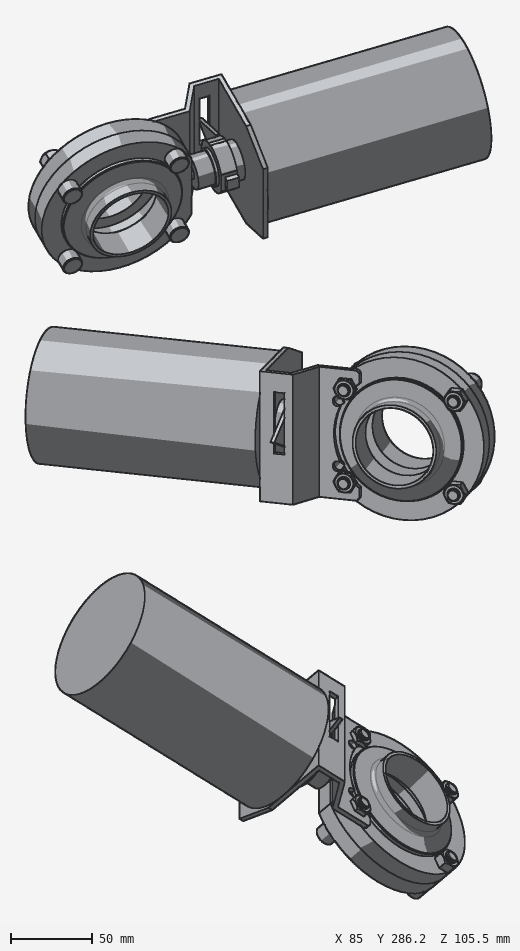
import cadquery as cq
import math


flange_dia = 105.5
flange_thickness = 11.0
flange_flat = 47.0
collar_dia = 79.5
collar_end = 13.7
collar_chamfer = 0.5
pipe_dia = 54.0
pipe_end = 26.5
bore_dia = 50.0
seat_dia = 66.0
seat_half_width = 7.0
neck_fillet = 3.0
neck_fillet_end = 19.5

bolt_y = 35.5
bolt_z = 30.3
shank_dia = 8.0
tip_dia = 6.5
tip_chamfer = 1.0
bolt_tip = 19.5
head_dia = 13.0
head_height = 8.5
head_chamfer = 0.5
nut_flats = 12.5
nut_face = -17.5
nut_face_dia = 12.0
nut_chamfer = 1.1

total_length = 286.2
tube_dia = 85.0
tube_length = 148.5
tube_far_end = total_length - flange_dia / 2
tube_near_end = tube_far_end - tube_length

neck_dia = 26.0
ring_dia = 34.0
ring_top = 75.3
ring_bottom = 64.7
ring_flat = 15.5
step_dia = 25.0
step_bottom = 62.7
hub_dia = 22.0
hub_bottom = 51.5
stem_dia = 8.0
lug_reach = 19.0
lug_width = 8.5
lug_height = 8.0
groove_width = 3.0
groove_depth = 1.0
top_groove_x = -3.5
side_groove_z = 5.2
pointer_tip_x = -41.8
pointer_thickness = 2.5
pointer_root_half_width = 12.5

sheet = 3.1
bracket_half_width = 42.4
plate_right = 41.8
plate_tip_half_width = 30.3
taper_start = 14.3
wall_x = -33.2
wall_bend_y = 63.5
tab_bend_y = 52.7
tab_end = 26.5
tab_corner_radius = 3.0
tab_relief_radius = 43.2
slot_y = (69.0, 75.8)
slot_z = (-10.3, 29.8)
locating_hole_dia = 6.5
locating_hole_y = 40.5
locating_hole_z = 21.2


def y_cylinder(diameter, start, end):
    """Cylinder along Y between two heights."""
    return cq.Workplane("XZ", origin=(0, start, 0)).circle(diameter / 2).extrude(start - end)


def x_cylinder(diameter, start, end, y=0, z=0):
    """Cylinder along X between two stations."""
    return cq.Workplane("YZ", origin=(start, y, z)).circle(diameter / 2).extrude(end - start)


def box_between(x_range, y_range, z_range):
    """Box given by its limits on the three axes."""
    size = [limits[1] - limits[0] for limits in (x_range, y_range, z_range)]
    corner = (x_range[0], y_range[0], z_range[0])
    return cq.Workplane("XY").box(*size, centered=False).translate(corner)


def bolt_places():
    return [(y, z) for y in (-bolt_y, bolt_y) for z in (-bolt_z, bolt_z)]


def make_valve_half(side):
    """Flange, collar and pipe stub on the side (-1 or 1) of the joint plane."""
    pipe_r = pipe_dia / 2
    collar_r = collar_dia / 2
    arc_x = neck_fillet_end
    arc_r = pipe_r + neck_fillet
    to_collar_x = collar_end - arc_x
    to_collar_r = collar_r - collar_chamfer - arc_r
    distance = math.hypot(to_collar_x, to_collar_r)
    tangent_angle = math.atan2(to_collar_r, to_collar_x) + math.acos(neck_fillet / distance)
    pipe_angle = 3 * math.pi / 2
    middle_angle = (tangent_angle + pipe_angle) / 2

    def arc_point(angle):
        return (arc_x + neck_fillet * math.cos(angle), arc_r + neck_fillet * math.sin(angle))

    profile = (
        cq.Workplane("XY")
        .moveTo(0, seat_dia / 2)
        .lineTo(0, flange_dia / 2)
        .lineTo(flange_thickness, flange_dia / 2)
        .lineTo(flange_thickness, collar_r)
        .lineTo(collar_end - collar_chamfer, collar_r)
        .lineTo(collar_end, collar_r - collar_chamfer)
        .lineTo(*arc_point(tangent_angle))
        .threePointArc(arc_point(middle_angle), (neck_fillet_end, pipe_r))
        .lineTo(pipe_end, pipe_r)
        .lineTo(pipe_end, bore_dia / 2)
        .lineTo(seat_half_width, bore_dia / 2)
        .lineTo(seat_half_width, seat_dia / 2)
        .close()
    )
    half = profile.revolve(360, (0, 0, 0), (1, 0, 0))
    above_flat = box_between((0, pipe_end), (flange_flat, flange_dia), (-flange_dia, flange_dia))
    half = half.cut(above_flat)
    for y, z in bolt_places():
        half = half.cut(x_cylinder(shank_dia, 0, flange_thickness, y, z))
    if side < 0:
        half = half.mirror("YZ")
        for z in (-locating_hole_z, locating_hole_z):
            half = half.cut(x_cylinder(locating_hole_dia, -flange_thickness, 0, locating_hole_y, z))
    return half


def make_bolt(y, z):
    """Cap screw with its nut, along X; the nuts on the +Y side sit on the bracket tab."""
    nut_seat = -flange_thickness - sheet if y > 0 else -flange_thickness
    nut_corner_dia = nut_flats / math.cos(math.pi / 6)
    head = x_cylinder(head_dia, flange_thickness, flange_thickness + head_height, y, z)
    head = head.faces(">X").chamfer(head_chamfer)
    shank = x_cylinder(shank_dia, -bolt_tip, flange_thickness, y, z)
    shank = shank.faces("<X").chamfer(tip_chamfer, (shank_dia - tip_dia) / 2)
    nut = cq.Workplane("YZ", origin=(nut_face, y, z)).polygon(6, nut_corner_dia).extrude(nut_seat - nut_face)
    envelope = x_cylinder(nut_corner_dia, nut_face, nut_seat, y, z)
    envelope = envelope.faces("<X").chamfer(nut_chamfer, (nut_corner_dia - nut_face_dia) / 2)
    nut = nut.intersect(envelope)
    return head.union(shank).union(nut)


def make_bracket():
    """Bent sheet from the tube end down to a tab on the -X flange face."""
    tab_inner_x = -flange_thickness
    tab_outer_x = tab_inner_x - sheet
    wall_inner_x = wall_x + sheet
    slope = math.atan2(wall_bend_y - tab_bend_y, tab_outer_x - wall_x)
    bend_shift = sheet * math.tan(math.pi / 4 - slope / 2)
    section = [
        (wall_x, tube_near_end),
        (wall_x, wall_bend_y),
        (tab_outer_x, tab_bend_y),
        (tab_outer_x, tab_end),
        (tab_inner_x, tab_end),
        (tab_inner_x, tab_bend_y + bend_shift),
        (wall_inner_x, wall_bend_y + bend_shift),
        (wall_inner_x, tube_near_end - sheet),
        (plate_right, tube_near_end - sheet),
        (plate_right, tube_near_end),
    ]
    bracket = cq.Workplane("XY").polyline(section).close().extrude(bracket_half_width, both=True)
    tab_corners = bracket.edges(cq.selectors.BoxSelector(
        (tab_outer_x - sheet, tab_end - sheet, -tube_dia),
        (tab_inner_x + sheet, tab_end + sheet, tube_dia),
    )).edges("|X")
    bracket = tab_corners.fillet(tab_corner_radius)

    for side in (-1, 1):
        taper = (
            cq.Workplane("XZ", origin=(0, tube_near_end, 0))
            .moveTo(taper_start, side * bracket_half_width)
            .lineTo(plate_right, side * bracket_half_width)
            .lineTo(plate_right, side * plate_tip_half_width)
            .close()
            .extrude(sheet)
        )
        bracket = bracket.cut(taper)
        locating_hole = x_cylinder(
            locating_hole_dia, tab_outer_x, tab_inner_x, locating_hole_y, side * locating_hole_z)
        bracket = bracket.cut(locating_hole)
        bracket = bracket.cut(x_cylinder(shank_dia, tab_outer_x, tab_inner_x, bolt_y, side * bolt_z))

    bracket = bracket.cut(x_cylinder(2 * tab_relief_radius, tab_outer_x, tab_inner_x))
    return bracket.cut(box_between((wall_x, wall_inner_x), slot_y, slot_z))


def make_clamp_ring():
    """Ring with a +X flat and lug, two grooves and the position pointer."""
    ring = y_cylinder(ring_dia, ring_bottom, ring_top)
    ring_r = ring_dia / 2
    ring_y = (ring_bottom, ring_top)
    ring = ring.cut(box_between((ring_flat, ring_dia), ring_y, (-ring_dia, ring_dia)))
    groove_floor = ring_r - groove_depth
    top_groove = box_between(
        (top_groove_x - groove_width / 2, top_groove_x + groove_width / 2), ring_y, (groove_floor, ring_r))
    side_groove = box_between(
        (-ring_r, -groove_floor), (ring_bottom, ring_top - pointer_thickness),
        (side_groove_z - groove_width / 2, side_groove_z + groove_width / 2))
    ring = ring.cut(top_groove).cut(side_groove)
    lug = box_between(
        (0, lug_reach), (ring_top - lug_height, ring_top), (-lug_width / 2, lug_width / 2))
    pointer = (
        cq.Workplane("XZ", origin=(0, ring_top, 0))
        .moveTo(pointer_tip_x, 0)
        .lineTo(-neck_dia / 2, pointer_root_half_width)
        .lineTo(-neck_dia / 2, -pointer_root_half_width)
        .close()
        .extrude(pointer_thickness)
    )
    core = y_cylinder(neck_dia, ring_bottom, ring_top)
    return ring.union(lug).union(pointer).union(core)


def make_actuator():
    """Tube, bracket, clamp ring, hub and stem as one solid."""
    actuator = y_cylinder(tube_dia, tube_near_end, tube_far_end)
    actuator = actuator.union(make_bracket())
    actuator = actuator.union(y_cylinder(neck_dia, ring_top, tube_near_end))
    actuator = actuator.union(make_clamp_ring())
    actuator = actuator.union(y_cylinder(step_dia, step_bottom, ring_bottom))
    actuator = actuator.union(y_cylinder(hub_dia, hub_bottom, step_bottom))
    return actuator.union(y_cylinder(stem_dia, flange_flat, hub_bottom))


valve_halves = [make_valve_half(side) for side in (-1, 1)]
bolts = [make_bolt(y, z) for y, z in bolt_places()]
actuator = make_actuator()

result = cq.Compound.makeCompound([
    *[half.val() for half in valve_halves],
    *[bolt.val() for bolt in bolts],
    actuator.val(),
])